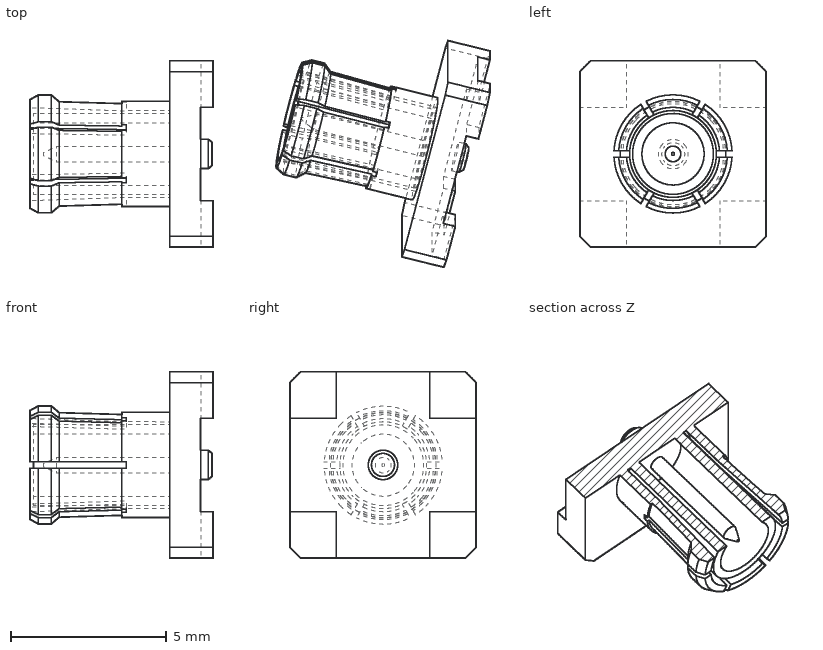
import cadquery as cq


flange_width = 6.0
flange_chamfer = 0.35
flange_face_x = 4.5
back_x = 5.9
foot_height = 0.4
channel_width = 3.0
channel_floor_x = back_x - foot_height

barrel_radius = 1.7
barrel_front_x = 2.965
neck_back_radius = 1.625
neck_front_radius = 1.685
bead_radius = 1.9
bead_back_x = 0.94
bead_crest_back_x = 0.69
bead_crest_front_x = 0.275
tip_radius = 1.75
bore_tip_radius = 1.5
bore_radius = 1.4

slot_count = 6
slot_width = 0.2
slot_end_x = 3.11

sleeve_radius = 1.3
sleeve_bore_radius = 1.0
sleeve_front_x = 0.115

pin_radius = 0.25
pin_point_radius = 0.05
pin_tip_x = 0.43
pin_cone_length = 0.42
stub_radius = 0.475
stub_end_radius = 0.37
stub_end_x = 5.87
stub_chamfer_x = 5.75


def revolve_about_x(profile):
    """Revolve a closed (x, radius) profile about the X axis."""
    return cq.Workplane("XY").polyline(profile).close().revolve(360, (0, 0, 0), (1, 0, 0))


def make_flange():
    """Chamfered square plate with crossed channels that leave a foot in each corner."""
    flange = (
        cq.Workplane("YZ", origin=(flange_face_x, 0, 0))
        .rect(flange_width, flange_width)
        .extrude(back_x - flange_face_x)
        .edges("|X")
        .chamfer(flange_chamfer)
    )
    channels = cq.Workplane("YZ", origin=(channel_floor_x, 0, 0))
    along_y = channels.rect(flange_width, channel_width).extrude(foot_height)
    along_z = channels.rect(channel_width, flange_width).extrude(foot_height)
    return flange.cut(along_y).cut(along_z)


def make_barrel():
    """Hollow barrel with a slightly flared neck and a snap bead at the tip."""
    return revolve_about_x(
        [
            (0, bore_tip_radius),
            (0, tip_radius),
            (bead_crest_front_x, bead_radius),
            (bead_crest_back_x, bead_radius),
            (bead_back_x, neck_front_radius),
            (barrel_front_x, neck_back_radius),
            (barrel_front_x, barrel_radius),
            (flange_face_x, barrel_radius),
            (flange_face_x, bore_radius),
            (barrel_front_x, bore_radius),
        ]
    )


def cut_finger_slots(barrel):
    """Cut equally spaced radial slots from the tip, one pair lying along Y."""
    slot = cq.Workplane("XY").box(slot_end_x, bead_radius, slot_width, centered=(False, False, True))
    for index in range(slot_count):
        barrel = barrel.cut(slot.rotate((0, 0, 0), (1, 0, 0), index * 360 / slot_count))
    return barrel


def make_sleeve():
    """Insulating tube standing on the flange face."""
    return (
        cq.Workplane("YZ", origin=(sleeve_front_x, 0, 0))
        .circle(sleeve_radius)
        .circle(sleeve_bore_radius)
        .extrude(flange_face_x - sleeve_front_x)
    )


def make_pin():
    """Pin with a blunt conical point, rising from the flange face."""
    return revolve_about_x(
        [
            (pin_tip_x, 0),
            (pin_tip_x, pin_point_radius),
            (pin_tip_x + pin_cone_length, pin_radius),
            (flange_face_x, pin_radius),
            (flange_face_x, 0),
        ]
    )


def make_stub():
    """Chamfered solder stub where the channels cross."""
    return revolve_about_x(
        [
            (channel_floor_x, 0),
            (channel_floor_x, stub_radius),
            (stub_chamfer_x, stub_radius),
            (stub_end_x, stub_end_radius),
            (stub_end_x, 0),
        ]
    )


result = (
    make_flange()
    .union(cut_finger_slots(make_barrel()))
    .union(make_sleeve())
    .union(make_pin())
    .union(make_stub())
)